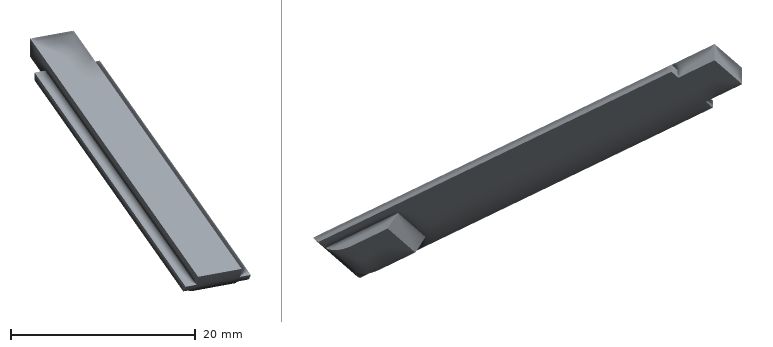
import cadquery as cq
import math

bar_width = 5.0
bar_thickness = 2.3

rail_span = 7.5
rail_thickness = 1.0
rail_start = 4.9

catch_drop = 1.5
catch_root = 42.75
catch_slope_length = 1.4

nose_radius = 5.0
nose_tangent_x = 49.0

total_height = bar_thickness + catch_drop
nose_center_z = nose_radius - total_height


def nose_x(z):
    """X position of the nose arc at height z; the top face is z = 0."""
    return nose_tangent_x + math.sqrt(nose_radius**2 - (z - nose_center_z) ** 2)


def extrude_across(outline, width):
    """Extrude an XZ outline symmetrically about the Y = 0 plane."""
    return outline.close().extrude(width / 2, both=True)


def nose_midpoint(z_low, z_high):
    z = (z_low + z_high) / 2
    return (nose_x(z), z)


def make_bar():
    outline = (
        cq.Workplane("XZ")
        .moveTo(0, 0)
        .lineTo(0, -bar_thickness)
        .lineTo(catch_root, -bar_thickness)
        .lineTo(catch_root + catch_slope_length, -total_height)
        .lineTo(nose_tangent_x, -total_height)
        .threePointArc(nose_midpoint(-total_height, 0), (nose_x(0), 0))
    )
    return extrude_across(outline, bar_width)


def make_rails():
    bottom = -bar_thickness
    top = bottom + rail_thickness
    outline = (
        cq.Workplane("XZ")
        .moveTo(rail_start, top)
        .lineTo(rail_start, bottom)
        .lineTo(nose_x(bottom), bottom)
        .threePointArc(nose_midpoint(bottom, top), (nose_x(top), top))
    )
    return extrude_across(outline, rail_span)


result = make_bar().union(make_rails())